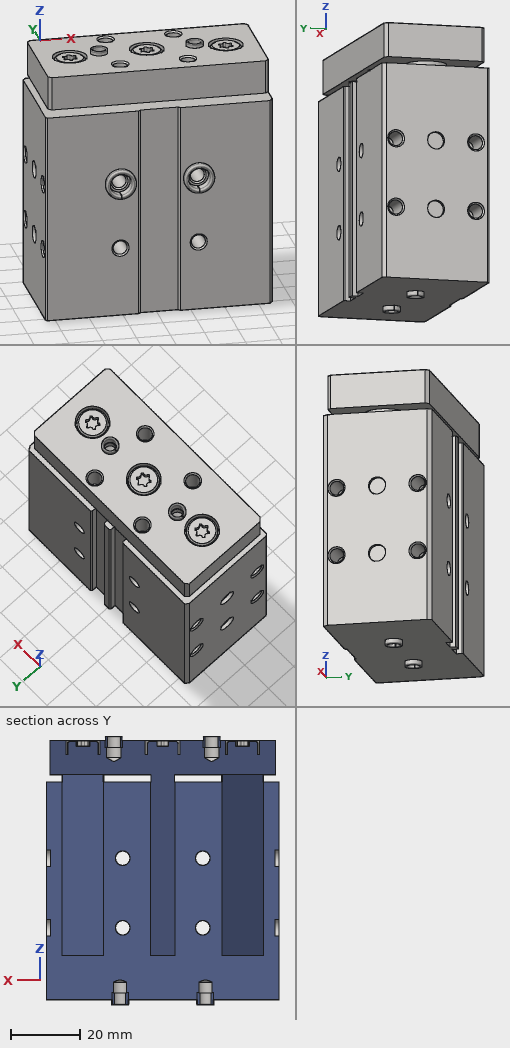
import cadquery as cq
import math

foot_protrusion = 1.5
housing_height = 62.8
lift_gap = 2.0
plate_thickness = 10.0
total_height = 77.4
housing_top = foot_protrusion + housing_height
plate_bottom = housing_top + lift_gap
plate_top = plate_bottom + plate_thickness
head_protrusion = total_height - plate_top

housing_width = 67.0
housing_depth = 32.1
side_x = housing_width / 2
front_y = -housing_depth / 2
back_y = housing_depth / 2
front_left_bevel = (0.4, 0.7)
front_right_bevel = (0.9, 1.4)
back_bevel = (0.8, 1.2)

channel_floor_width = 11.15
channel_depth = 0.6

slot_width = 12.9
slot_depth = 2.0
tongue_width = 2.8
slot_edge_bevel = 0.4

plate_width = 65.0
plate_depth = 30.0
plate_bevel = 1.0

pattern_y = 1.4

guide_diameter = 12.0
guide_x = 23.0
piston_diameter = 7.0
rod_insertion = 50.0

counterbore_diameter = 10.0
head_diameter = 9.0
head_bevel = 0.5
head_recess = 0.2
counterbore_depth = 4.0
socket_tip_radius = 2.2
socket_valley_radius = 1.51
socket_flank_radius = 1.85
socket_tip_half_angle = 12.0
socket_depth = 1.5
socket_lobes = 6

core_diameter = 4.1
mouth_diameter = 5.0
drill_point_angle = 118.0
blind_depth = 10.0
plate_hole_pitch = 20.0

upper_row_z = foot_protrusion + 40.8
lower_row_z = foot_protrusion + 20.75
row_heights = (lower_row_z, upper_row_z)
side_hole_y = 12.0
locating_diameter = 5.0
locating_depth = 1.15
front_hole_x = 11.5

small_outer = 5.0
small_inner = 3.6
small_insertion = 2.0
small_lip_round = 0.2
head_sleeve_x = 14.1
foot_sleeve_x = 12.3
large_outer = 9.0
large_inner = 6.35
large_protrusion = 1.7
large_insertion = 1.5
large_lip_round = 0.6
slit_width = 0.15


def rod(diameter, length, start, direction):
    """Solid cylinder from a start point along a direction."""
    return cq.Workplane(cq.Solid.makeCylinder(diameter / 2, length, cq.Vector(*start), cq.Vector(*direction)))


def mouth(start, direction):
    """Countersink cone that opens a threaded hole's mouth at 45 degrees."""
    depth = (mouth_diameter - core_diameter) / 2
    return cq.Workplane(
        cq.Solid.makeCone(mouth_diameter / 2, core_diameter / 2, depth, cq.Vector(*start), cq.Vector(*direction))
    )


def drilled_hole(start, direction, depth):
    """Blind core hole that ends in a drill point."""
    radius = core_diameter / 2
    point_depth = radius / math.tan(math.radians(drill_point_angle / 2))
    way = cq.Vector(*direction)
    end = cq.Vector(*start) + way * depth
    point = cq.Workplane(cq.Solid.makeCone(radius, 0, point_depth, end, way))
    return rod(core_diameter, depth, start, direction).union(point)


def wedge(corner, bevel, signs):
    """Vertical triangular prism that bevels one corner of the housing."""
    x, y = corner
    along_x, along_y = bevel
    sign_x, sign_y = signs
    return (
        cq.Workplane("XY", origin=(0, 0, foot_protrusion))
        .moveTo(x, y)
        .lineTo(x - sign_x * along_x, y)
        .lineTo(x, y - sign_y * along_y)
        .close()
        .extrude(housing_height)
    )


def block():
    """Housing block with bevelled corners, front channel and back slot."""
    base = cq.Workplane("XY", origin=(0, 0, foot_protrusion))
    body = base.rect(housing_width, housing_depth).extrude(housing_height)
    corners = (
        (-1, -1, front_left_bevel),
        (1, -1, front_right_bevel),
        (-1, 1, back_bevel),
        (1, 1, back_bevel),
    )
    for sign_x, sign_y, bevel in corners:
        corner = (sign_x * side_x, sign_y * back_y)
        body = body.cut(wedge(corner, bevel, (sign_x, sign_y)))

    half_floor = channel_floor_width / 2
    channel = base.polyline(
        [
            (-half_floor - channel_depth, front_y),
            (-half_floor, front_y + channel_depth),
            (half_floor, front_y + channel_depth),
            (half_floor + channel_depth, front_y),
        ]
    ).close().extrude(housing_height)
    body = body.cut(channel)

    inner = tongue_width / 2
    outer = slot_width / 2
    for side in (-1, 1):
        groove = base.polyline(
            [
                (side * (inner - slot_edge_bevel), back_y),
                (side * inner, back_y - slot_edge_bevel),
                (side * inner, back_y - slot_depth),
                (side * outer, back_y - slot_depth),
                (side * outer, back_y - slot_edge_bevel),
                (side * (outer + slot_edge_bevel), back_y),
            ]
        ).close().extrude(housing_height)
        body = body.cut(groove)
    return body


def make_housing():
    body = block()

    bore_bottom = housing_top - rod_insertion
    for x in (-guide_x, guide_x):
        body = body.cut(rod(guide_diameter, rod_insertion, (x, 0, bore_bottom), (0, 0, 1)))
    body = body.cut(rod(piston_diameter, rod_insertion, (0, pattern_y, bore_bottom), (0, 0, 1)))

    for side in (-1, 1):
        inward = (-side, 0, 0)
        for z in row_heights:
            for y in (-side_hole_y, side_hole_y):
                start = (side * side_x, y, z)
                body = body.cut(drilled_hole(start, inward, blind_depth)).cut(mouth(start, inward))
            body = body.cut(rod(locating_diameter, locating_depth, (side * side_x, 0, z), inward))

    for x in (-front_hole_x, front_hole_x):
        for z in row_heights:
            body = body.cut(rod(core_diameter, housing_depth, (x, front_y, z), (0, 1, 0)))
        body = body.cut(mouth((x, front_y, lower_row_z), (0, 1, 0)))
        body = body.cut(rod(large_outer, large_insertion, (x, front_y, upper_row_z), (0, 1, 0)))
        body = body.cut(mouth((x, front_y + large_insertion, upper_row_z), (0, 1, 0)))

    for x in (-foot_sleeve_x, foot_sleeve_x):
        start = (x, 0, foot_protrusion)
        body = body.cut(rod(small_outer, small_insertion, start, (0, 0, 1)))
        body = body.cut(drilled_hole(start, (0, 0, 1), blind_depth / 2))
    return body


def socket_point(radius, degrees):
    angle = math.radians(degrees)
    return (radius * math.cos(angle), radius * math.sin(angle))


def star_socket(x, y, top):
    """Six-pointed driver socket cut downwards from a screw head's top."""
    lobe_angle = 360 / socket_lobes
    first = 90 - socket_tip_half_angle
    outline = cq.Workplane("XY", origin=(x, y, top)).moveTo(*socket_point(socket_flank_radius, first))
    for lobe in range(socket_lobes):
        tip = 90 + lobe * lobe_angle
        outline = outline.threePointArc(
            socket_point(socket_tip_radius, tip),
            socket_point(socket_flank_radius, tip + socket_tip_half_angle),
        ).threePointArc(
            socket_point(socket_valley_radius, tip + lobe_angle / 2),
            socket_point(socket_flank_radius, tip + lobe_angle - socket_tip_half_angle),
        )
    return outline.close().extrude(-socket_depth)


def screw_head(x, y):
    """Bevelled screw head standing on the floor of its counterbore."""
    floor = plate_top - counterbore_depth
    height = counterbore_depth - head_recess
    head = rod(head_diameter, height, (x, y, floor), (0, 0, 1)).faces(">Z").chamfer(head_bevel)
    return head.cut(star_socket(x, y, floor + height))


def make_carriage():
    """Plate with its screw heads and the piston rod."""
    plate = (
        cq.Workplane("XY", origin=(0, 0, plate_bottom))
        .rect(plate_width, plate_depth)
        .extrude(plate_thickness)
        .edges("|Z")
        .chamfer(plate_bevel)
    )
    down = (0, 0, -1)
    for x, y in ((-guide_x, 0), (0, pattern_y), (guide_x, 0)):
        plate = plate.cut(rod(counterbore_diameter, counterbore_depth, (x, y, plate_top), down))
        plate = plate.union(screw_head(x, y))

    for x in (-plate_hole_pitch / 2, plate_hole_pitch / 2):
        for y in (pattern_y - plate_hole_pitch / 2, pattern_y + plate_hole_pitch / 2):
            start = (x, y, plate_top)
            plate = plate.cut(rod(core_diameter, plate_thickness, start, down)).cut(mouth(start, down))

    for x in (-head_sleeve_x, head_sleeve_x):
        start = (x, pattern_y, plate_top)
        plate = plate.cut(rod(small_outer, small_insertion, start, down))
        plate = plate.cut(drilled_hole(start, down, blind_depth / 2))

    piston_length = rod_insertion + lift_gap
    return plate.union(rod(piston_diameter, piston_length, (0, pattern_y, plate_bottom), down))


def make_guide_rod(x):
    return rod(guide_diameter, rod_insertion + lift_gap, (x, 0, plate_bottom), (0, 0, -1))


def make_sleeve(sizes, seat_centre, outward, slit_direction):
    """Sleeve slit along one side, rounded at the end that stands out of its seat."""
    outer_diameter, inner_diameter, insertion, protrusion, lip_round = sizes
    length = insertion + protrusion
    seat_plane = cq.Plane(origin=seat_centre, xDir=slit_direction, normal=outward)
    base = cq.Workplane(seat_plane).workplane(offset=-insertion)
    sleeve = (
        base.circle(outer_diameter / 2)
        .circle(inner_diameter / 2)
        .extrude(length)
        .faces(cq.selectors.DirectionMinMaxSelector(cq.Vector(*outward)))
        .edges()
        .fillet(lip_round)
    )
    slit = base.center(outer_diameter / 4, 0).rect(outer_diameter / 2, slit_width).extrude(length)
    return sleeve.cut(slit)


def make_head_sleeve(x):
    sizes = (small_outer, small_inner, small_insertion, head_protrusion, small_lip_round)
    return make_sleeve(sizes, (x, pattern_y, plate_top), (0, 0, 1), (-1, 0, 0))


def make_foot_sleeve(x):
    sizes = (small_outer, small_inner, small_insertion, foot_protrusion, small_lip_round)
    return make_sleeve(sizes, (x, 0, foot_protrusion), (0, 0, -1), (-1, 0, 0))


def make_front_sleeve(x):
    sizes = (large_outer, large_inner, large_insertion, large_protrusion, large_lip_round)
    return make_sleeve(sizes, (x, front_y, upper_row_z), (0, -1, 0), (0, 0, -1))


housing = make_housing()
carriage = make_carriage()
guide_rods = [make_guide_rod(x) for x in (-guide_x, guide_x)]
head_sleeves = [make_head_sleeve(x) for x in (-head_sleeve_x, head_sleeve_x)]
foot_sleeves = [make_foot_sleeve(x) for x in (-foot_sleeve_x, foot_sleeve_x)]
front_sleeves = [make_front_sleeve(x) for x in (-front_hole_x, front_hole_x)]

result = cq.Compound.makeCompound(
    [
        housing.val(),
        carriage.val(),
        *[guide_rod.val() for guide_rod in guide_rods],
        *[sleeve.val() for sleeve in head_sleeves + foot_sleeves + front_sleeves],
    ]
)